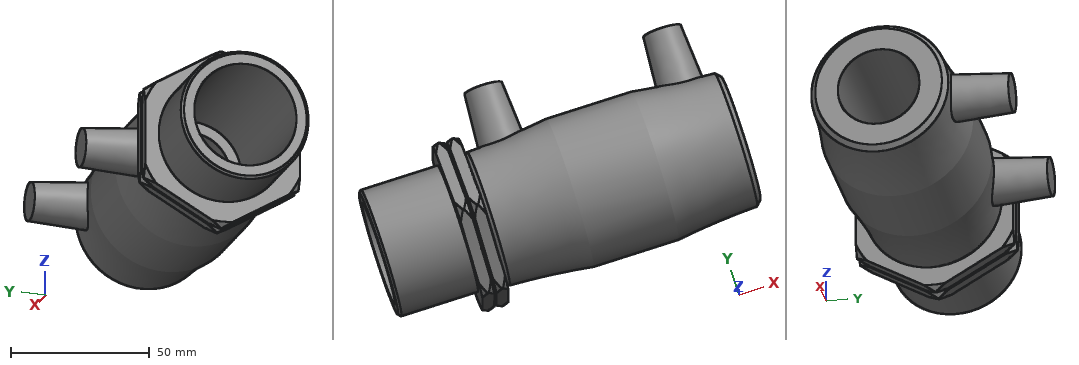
import cadquery as cq
import math

length = 137.0

spigot_radius = 47.8 / 2
spigot_chamfer = 1.0

body_start = 39.9
barrel_start = 72.3
barrel_end = 104.5
barrel_radius = 56.0 / 2
shoulder_radius = 25.2
shoulder_mid_radius = 26.2
entry_chamfer = 1.6
end_chamfer = 1.9

spigot_bore_diameter = 38.2
through_bore_diameter = 30.0

nut_starts = (29.9, 35.2)
nut_thickness = 4.5
nut_corner_diameter = 66.9
nut_face_radius = 31.4

terminal_positions = (54.5, 122.2)
terminal_tip_y = 46.0
terminal_tip_radius = 7.1
terminal_taper = 4.1


def make_body():
    """Revolve the spigot and the curved body about the X axis."""
    left_shoulder = body_start + entry_chamfer
    right_shoulder = length - end_chamfer
    left_mid = (left_shoulder + barrel_start) / 2
    right_mid = (barrel_end + right_shoulder) / 2
    return (
        cq.Workplane("XY")
        .moveTo(0, 0)
        .lineTo(0, spigot_radius - spigot_chamfer)
        .lineTo(spigot_chamfer, spigot_radius)
        .lineTo(body_start, spigot_radius)
        .lineTo(left_shoulder, shoulder_radius)
        .threePointArc((left_mid, shoulder_mid_radius), (barrel_start, barrel_radius))
        .lineTo(barrel_end, barrel_radius)
        .threePointArc((right_mid, shoulder_mid_radius), (right_shoulder, shoulder_radius))
        .lineTo(length, shoulder_radius - end_chamfer)
        .lineTo(length, 0)
        .close()
        .revolve(360, (0, 0, 0), (1, 0, 0))
    )


def make_nut(start):
    """Hexagon nut with its corners turned conically on both faces."""
    hexagon = (
        cq.Workplane("YZ", origin=(start, 0, 0))
        .transformed(rotate=(0, 0, 90))
        .polygon(6, nut_corner_diameter)
        .extrude(nut_thickness)
    )
    corner_radius = nut_corner_diameter / 2
    turned_chamfer = corner_radius - nut_face_radius
    turned_disc = (
        cq.Workplane("YZ", origin=(start, 0, 0))
        .circle(corner_radius)
        .extrude(nut_thickness)
        .faces("<X or >X")
        .chamfer(turned_chamfer)
    )
    return hexagon.intersect(turned_disc)


def make_terminal(x):
    """Terminal that widens from its tip down into the wall of the body."""
    root_y = (through_bore_diameter / 2 + shoulder_radius) / 2
    height = terminal_tip_y - root_y
    root_radius = terminal_tip_radius + height * math.tan(math.radians(terminal_taper))
    cone = cq.Solid.makeCone(
        root_radius, terminal_tip_radius, height, cq.Vector(x, root_y, 0), cq.Vector(0, 1, 0)
    )
    return cq.Workplane(obj=cone)


def make_bore(diameter, depth):
    return cq.Workplane("YZ").circle(diameter / 2).extrude(depth)


result = make_body()
for nut_start in nut_starts:
    result = result.union(make_nut(nut_start))
for terminal_x in terminal_positions:
    result = result.union(make_terminal(terminal_x))
result = result.cut(make_bore(spigot_bore_diameter, barrel_start))
result = result.cut(make_bore(through_bore_diameter, length))